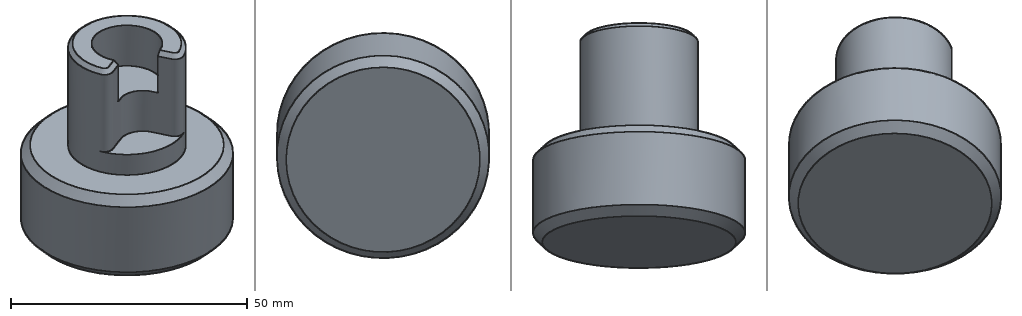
import cadquery as cq
import math

total_height = 45.0
base_diameter = 45.0
base_height = 20.0
base_chamfer = 2.0

post_diameter = 25.0
post_height = total_height - base_height
post_chamfer = 1.0
bore_diameter = 15.0
bore_depth = 10.0

notch_depth = 20.0
notch_offset = 1.0
notch_inner_radius = 5.0
notch_lip_radius = 2.0


def make_base():
    """Disc with both rims chamfered."""
    disc = cq.Workplane("XY").circle(base_diameter / 2).extrude(base_height)
    return disc.edges("%CIRCLE").chamfer(base_chamfer)


def make_cylinder(diameter, height, bottom):
    """Upright cylinder on the Z axis with its seam on the -X side."""
    cylinder = cq.Workplane("XY").circle(diameter / 2).extrude(height)
    return cylinder.rotate((0, 0, 0), (0, 0, 1), 180).translate((0, 0, bottom))


def make_notch():
    """Square block with a rounded inner corner, overrunning the post on its outer sides."""
    notch_size = post_diameter / 2
    return (
        cq.Workplane("XY", origin=(notch_offset, -notch_offset, total_height - notch_depth))
        .rect(notch_size, -notch_size, centered=False)
        .extrude(notch_depth)
        .edges("|Z and <X and >Y")
        .fillet(notch_inner_radius)
    )


def is_lip(edge):
    """True for an upright edge where a notch wall meets the outside of the post."""
    middle = edge.Center()
    on_outside = math.hypot(middle.x, middle.y) > bore_diameter / 2
    return on_outside and middle.x > 0


def make_notched_section():
    """Upper post with the notch, rounded lips and a chamfered outer rim."""
    section = make_cylinder(post_diameter, notch_depth, total_height - notch_depth).cut(make_notch())
    section = section.edges("|Z").filter(is_lip).fillet(notch_lip_radius)
    return section.faces(">Z").edges().chamfer(post_chamfer)


def make_post():
    """Plain foot and notched section, with a blind bore from the top."""
    foot = make_cylinder(post_diameter, post_height - notch_depth, base_height)
    bore = make_cylinder(bore_diameter, bore_depth, total_height - bore_depth)
    return foot.union(make_notched_section()).cut(bore)


result = make_base().union(make_post())